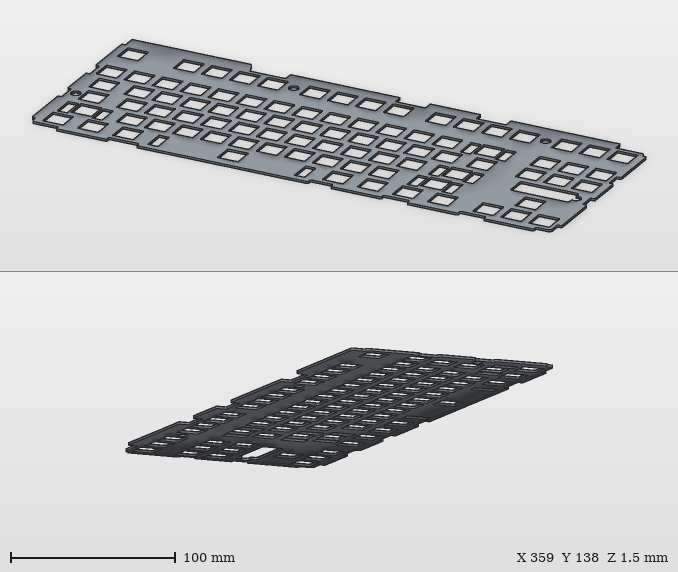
import cadquery as cq

plate_length = 359.0
plate_width = 138.0
plate_thickness = 1.5

left_inset = 2.5
right_inset = 3.0
bottom_inset = 3.2
top_inset = 9.0
top_tab_height = 6.5
edge_radius = 0.7
corner_radius = 2.0

top_tabs = [(111.5, 186.3), (206.8, 241.2), (261.5, 336.5)]
bottom_tabs = [(20.8, 55.3), (75.7, 192.5), (208.0, 242.3), (260.0, 294.5), (312.0, 346.0)]
left_tabs = [(8.5, 43.5), (56.5, 81.0), (93.7, 129.0)]
right_tabs = [(12.2, 46.0), (56.5, 81.0), (91.5, 125.5)]

corner_top_end = 84.0
corner_foot_end = 87.2

main_block_width = 285.7
key_pitch = main_block_width / 15
key_size = 14.0
key_radius = 0.5
grid_columns = 17.5
key_edge_margin = 3.5
first_key_x = (plate_length - grid_columns * key_pitch) / 2
bottom_row_y = bottom_inset + key_edge_margin + key_size / 2

stabiliser_width = 6.8
stabiliser_height = 15.0
stabiliser_drop = 1.5
wide_key_reach = 12.0
space_bar_reach = 50.0

opening_length = 40.0
opening_height = key_size
opening_radius = 1.5

screw_diameter = 6.5
left_screw_x = 8.0
right_screw_x = 348.5

BOTTOM_ROW, SHIFT_ROW, CAPS_ROW, TAB_ROW, NUMBER_ROW, FUNCTION_ROW = 0, 1, 2, 3, 4, 5.5


def run(first, count):
    """Columns of `count` neighbouring keys, in pitches from the first column."""
    return [first + i for i in range(count)]


side_block = run(15.5, 3)
backspace, enter, left_shift, right_shift, space_bar = 13.5, 13.375, 0.625, 13.125, 6.375
key_rows = {
    FUNCTION_ROW: [0] + run(2, 4) + run(6.5, 4) + run(11, 4) + side_block,
    NUMBER_ROW: run(0, 13) + [backspace] + side_block,
    TAB_ROW: [0.25] + run(1.5, 12) + [13.75] + side_block,
    CAPS_ROW: [0.375] + run(1.75, 11) + [enter],
    SHIFT_ROW: [left_shift] + run(2.25, 10) + [right_shift, side_block[1]],
    BOTTOM_ROW: [0.125, 1.375, 2.625, space_bar, 10.125, 11.375, 12.625, 13.875] + side_block,
}
stabilised_keys = [
    (backspace, NUMBER_ROW, wide_key_reach),
    (enter, CAPS_ROW, wide_key_reach),
    (left_shift, SHIFT_ROW, wide_key_reach),
    (right_shift, SHIFT_ROW, wide_key_reach),
    (space_bar, BOTTOM_ROW, space_bar_reach),
]
function_row_screws = [5.75, 14.75]


def column_x(column):
    return first_key_x + column * key_pitch


def row_y(row):
    return bottom_row_y + row * key_pitch


def base_plane():
    """Workplane whose origin is the bottom-left corner of the plate."""
    return cq.Workplane("XY", origin=(-plate_length / 2, -plate_width / 2, 0))


def block(x_start, x_end, y_start, y_end):
    return (
        base_plane()
        .moveTo((x_start + x_end) / 2, (y_start + y_end) / 2)
        .rect(x_end - x_start, y_end - y_start)
        .extrude(plate_thickness)
    )


def rounded_openings(centres, width, height, radius):
    openings = base_plane().pushPoints(centres).rect(width, height).extrude(plate_thickness)
    return openings.edges("|Z").fillet(radius)


def round_outline(blank, large_corners):
    """Round the listed corners with corner_radius and the rest of the outline with edge_radius."""
    large_points = [
        base_plane().plane.toWorldCoords((x, y, plate_thickness / 2)) for x, y in large_corners
    ]

    def is_large(edge):
        return any((edge.Center() - point).Length < edge_radius for point in large_points)

    blank = blank.edges("|Z").filter(lambda edge: not is_large(edge)).fillet(edge_radius)
    return blank.edges("|Z").filter(is_large).fillet(corner_radius)


def plate_blank():
    core_left = left_inset
    core_right = plate_length - right_inset
    core_bottom = bottom_inset
    core_top = plate_width - top_inset
    blank = block(core_left, core_right, core_bottom, core_top)
    for start, end in top_tabs:
        blank = blank.union(block(start, end, core_bottom, core_top + top_tab_height))
    for start, end in bottom_tabs:
        blank = blank.union(block(start, end, 0, core_top))
    for start, end in left_tabs:
        blank = blank.union(block(0, core_right, start, end))
    for start, end in right_tabs:
        blank = blank.union(block(core_left, plate_length, start, end))
    raised_corner = (
        base_plane()
        .polyline([
            (core_left, core_bottom),
            (corner_foot_end, core_bottom),
            (corner_foot_end, core_top),
            (corner_top_end, plate_width),
            (core_left, plate_width),
        ])
        .close()
        .extrude(plate_thickness)
    )
    blank = blank.union(raised_corner).clean()
    large_corners = [
        (core_left, core_bottom),
        (core_right, core_bottom),
        (core_right, core_top),
        (corner_top_end, plate_width),
    ]
    return round_outline(blank, large_corners)


def key_openings():
    centres = [(column_x(c), row_y(row)) for row, columns in key_rows.items() for c in columns]
    return rounded_openings(centres, key_size, key_size, key_radius)


def stabiliser_slots():
    centres = [
        (column_x(column) + side * reach, row_y(row) - stabiliser_drop)
        for column, row, reach in stabilised_keys
        for side in (-1, 1)
    ]
    return rounded_openings(centres, stabiliser_width, stabiliser_height, key_radius)


def long_opening():
    centre = (column_x(side_block[1]), row_y(CAPS_ROW))
    return rounded_openings([centre], opening_length, opening_height, opening_radius)


def screw_holes():
    centres = [(column_x(column), row_y(FUNCTION_ROW)) for column in function_row_screws]
    centres += [(x, row_y(CAPS_ROW)) for x in (left_screw_x, right_screw_x)]
    return base_plane().pushPoints(centres).circle(screw_diameter / 2).extrude(plate_thickness)


result = plate_blank()
for cutter in (key_openings(), stabiliser_slots(), long_opening(), screw_holes()):
    result = result.cut(cutter)